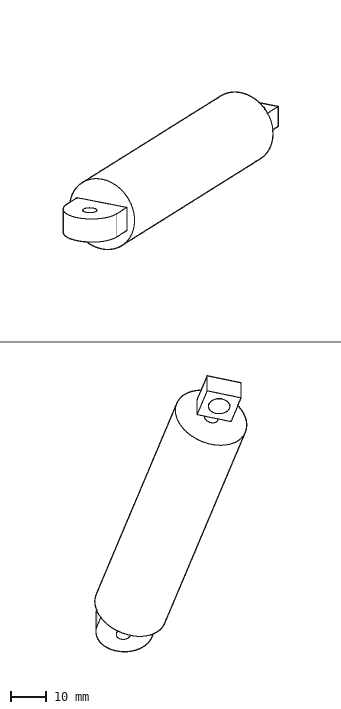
import cadquery as cq

total_length = 107.0
lug_length = 14.0
body_length = 80.0
body_diameter = 21.0

lug_width = 16.0
lug_thickness = 7.0
lug_hole_diameter = 4.0
lug_hole_from_tip = 7.0

rod_diameter = 4.0
eye_size = 10.0
eye_thickness = 6.0
eye_hole_diameter = 6.0

body_start = -total_length / 2 + lug_length
body_end = body_start + body_length
eye_end = total_length / 2
eye_start = eye_end - eye_size
eye_center = eye_end - eye_size / 2


def cylinder_along_y(diameter, start, end):
    """Solid cylinder on the Y axis between two Y positions."""
    profile = cq.Workplane("XZ", origin=(0, start, 0)).circle(diameter / 2)
    return profile.extrude(start - end)


def drill_z(y, diameter, thickness):
    """Cutter for a hole through a plate centred on Z = 0."""
    return cq.Workplane("XY").center(0, y).circle(diameter / 2).extrude(thickness / 2, both=True)


def make_lug():
    """Flat lug with a full-radius tip and a pin hole."""
    tip = -total_length / 2
    half_width = lug_width / 2
    arc_start = tip + half_width
    lug = (
        cq.Workplane("XY")
        .moveTo(-half_width, body_start)
        .lineTo(-half_width, arc_start)
        .threePointArc((0, tip), (half_width, arc_start))
        .lineTo(half_width, body_start)
        .close()
        .extrude(lug_thickness / 2, both=True)
    )
    return lug.cut(drill_z(tip + lug_hole_from_tip, lug_hole_diameter, lug_thickness))


def make_eye():
    """Square rod end with a central pin hole."""
    eye = cq.Workplane("XY").center(0, eye_center).box(eye_size, eye_size, eye_thickness)
    return eye.cut(drill_z(eye_center, eye_hole_diameter, eye_thickness))


body = cylinder_along_y(body_diameter, body_start, body_end)
rod = cylinder_along_y(rod_diameter, body_end, eye_start)
result = body.union(rod).union(make_lug()).union(make_eye())